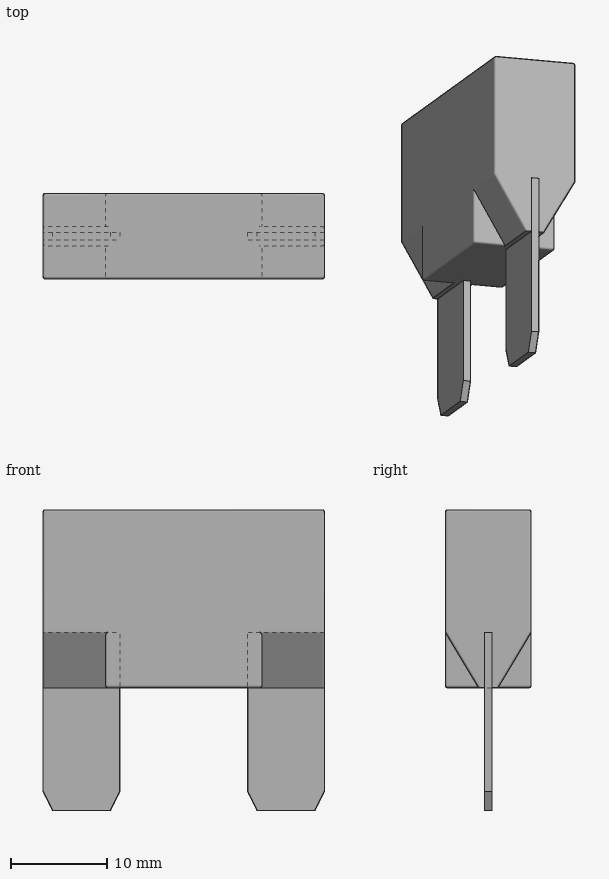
import cadquery as cq

width = 29.25
depth = 8.9
total_height = 31.25

housing_bottom = 12.75
housing_height = total_height - housing_bottom
edge_radius = 0.25
tolerance = 0.001

recess_width = 6.5
recess_top = 18.5
web_thickness = 2.0

blade_width = 8.0
blade_thickness = 0.8
blade_top = recess_top
tip_inset = 1.0
tip_height = 2.0


def corner_recess(x_side, y_side):
    """Wedge that leaves a thin web around the blade at one lower corner."""
    profile = [
        (y_side * web_thickness / 2, housing_bottom),
        (y_side * depth / 2, recess_top),
        (y_side * depth / 2, housing_bottom),
    ]
    x_start = -width / 2 if x_side < 0 else width / 2 - recess_width
    return (
        cq.Workplane("YZ", origin=(x_start, 0, 0))
        .polyline(profile)
        .close()
        .extrude(recess_width)
    )


def make_blade(x_side):
    """Flat blade with a tapered tip, flush with one end of the housing."""
    half = blade_width / 2
    outline = [
        (-half + tip_inset, 0),
        (half - tip_inset, 0),
        (half, tip_height),
        (half, blade_top),
        (-half, blade_top),
        (-half, tip_height),
    ]
    x_center = x_side * (width - blade_width) / 2
    return (
        cq.Workplane("XZ", origin=(x_center, blade_thickness / 2, 0))
        .polyline(outline)
        .close()
        .extrude(blade_thickness)
    )


def is_rounded(edge):
    """True unless the edge is an inner corner of a recess or a lower edge of a web."""
    center = edge.Center()
    direction = edge.tangentAt(0)
    is_sloped = min(abs(direction.y), abs(direction.z)) > tolerance
    on_end_face = abs(center.x) > width / 2 - tolerance
    under_web = center.z < housing_bottom + tolerance and abs(center.y) < web_thickness / 2 + tolerance
    return not under_web and (on_end_face or not is_sloped)


def make_housing(blades):
    """Rounded block with four sloped corner recesses and a slot for each blade."""
    housing = cq.Workplane("XY", origin=(0, 0, housing_bottom)).box(
        width, depth, housing_height, centered=(True, True, False)
    )
    for x_side in (-1, 1):
        for y_side in (-1, 1):
            housing = housing.cut(corner_recess(x_side, y_side))
    housing = housing.edges().filter(is_rounded).fillet(edge_radius)
    for blade in blades:
        housing = housing.cut(blade)
    return housing


blades = [make_blade(x_side) for x_side in (-1, 1)]
housing = make_housing(blades)

result = cq.Compound.makeCompound([housing.val(), *[blade.val() for blade in blades]])